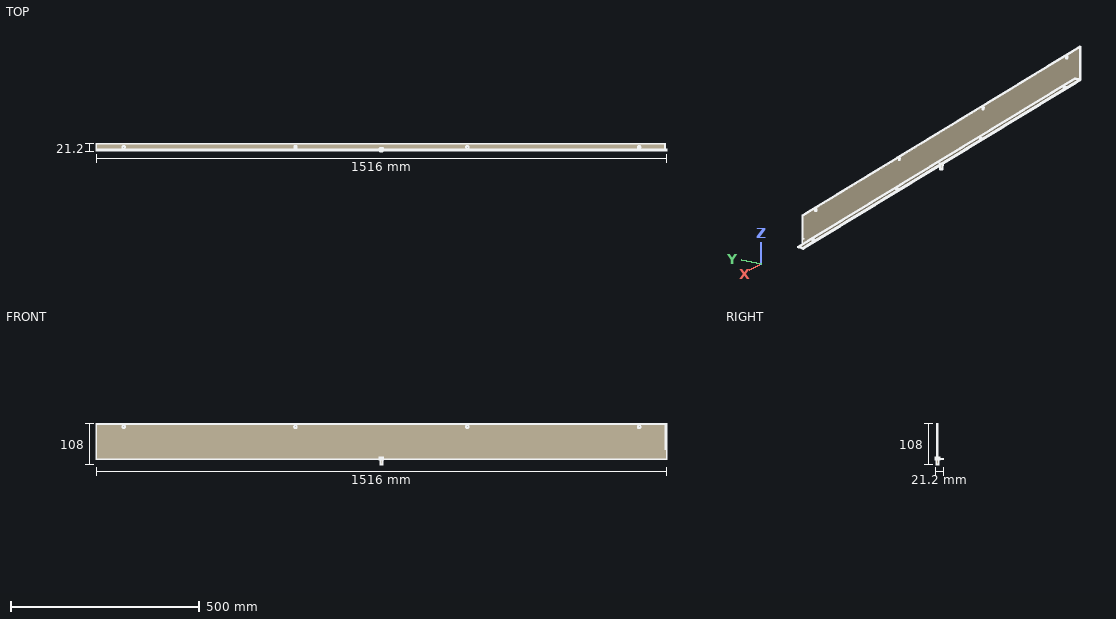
import cadquery as cq

length = 1516.0
height = 94.0
panel_thickness = 3.0
flange_thickness = 2.0
flange_depth = 18.0
flange_end_gap = 5.0

hole_pitch = 456.0
hole_count = 4
panel_hole_diameter = 6.7
panel_hole_drop = 8.0
flange_hole_diameter = 6.4
flange_hole_y = 9.0

strip_width = 5.0
strip_bottom = 27.0

pin_y = 2.3
pin_diameter = 7.1
pin_drop = 14.0
head_diameter = 11.0
head_height = 5.0
washer_diameter = 11.0
washer_thickness = 2.0


def box(x_min, x_max, y_min, y_max, z_min, z_max):
    """Box given by its limits along each axis."""
    size = (x_max - x_min, y_max - y_min, z_max - z_min)
    return cq.Workplane("XY").box(*size, centered=False).translate((x_min, y_min, z_min))


def pin_cylinder(diameter, z_min, z_max):
    """Cylinder on the pin axis."""
    return cq.Workplane("XY", origin=(0, pin_y, z_min)).circle(diameter / 2).extrude(z_max - z_min)


def make_strip():
    """End strip, flush with the panel."""
    return box(length / 2 - strip_width, length / 2, 0, panel_thickness, strip_bottom, height)


def make_pin():
    """Headed pin, with the head resting on the flange."""
    shank = pin_cylinder(pin_diameter, -pin_drop, flange_thickness)
    head = pin_cylinder(head_diameter, flange_thickness, flange_thickness + head_height)
    return shank.union(head)


def make_washer():
    """Ring around the shank, against the underside of the flange."""
    ring = pin_cylinder(washer_diameter, -washer_thickness, 0)
    return ring.cut(pin_cylinder(pin_diameter, -washer_thickness, 0))


def make_angle(strip, pin):
    """L-shaped sheet with mounting holes and recesses for the strip and the pin."""
    panel = box(-length / 2, length / 2, 0, panel_thickness, 0, height)
    flange = box(-length / 2, length / 2 - flange_end_gap, 0, flange_depth, 0, flange_thickness)
    angle = panel.union(flange)
    for index in range(hole_count):
        x = (index - (hole_count - 1) / 2) * hole_pitch
        panel_hole = (
            cq.Workplane("XZ", origin=(x, panel_thickness, height - panel_hole_drop))
            .circle(panel_hole_diameter / 2)
            .extrude(panel_thickness)
        )
        flange_hole = (
            cq.Workplane("XY", origin=(x, flange_hole_y, 0))
            .circle(flange_hole_diameter / 2)
            .extrude(flange_thickness)
        )
        angle = angle.cut(panel_hole).cut(flange_hole)
    return angle.cut(strip).cut(pin)


end_strip = make_strip()
center_pin = make_pin()
washer = make_washer()
angle_panel = make_angle(end_strip, center_pin)

result = cq.Compound.makeCompound(
    [angle_panel.val(), end_strip.val(), center_pin.val(), washer.val()]
)